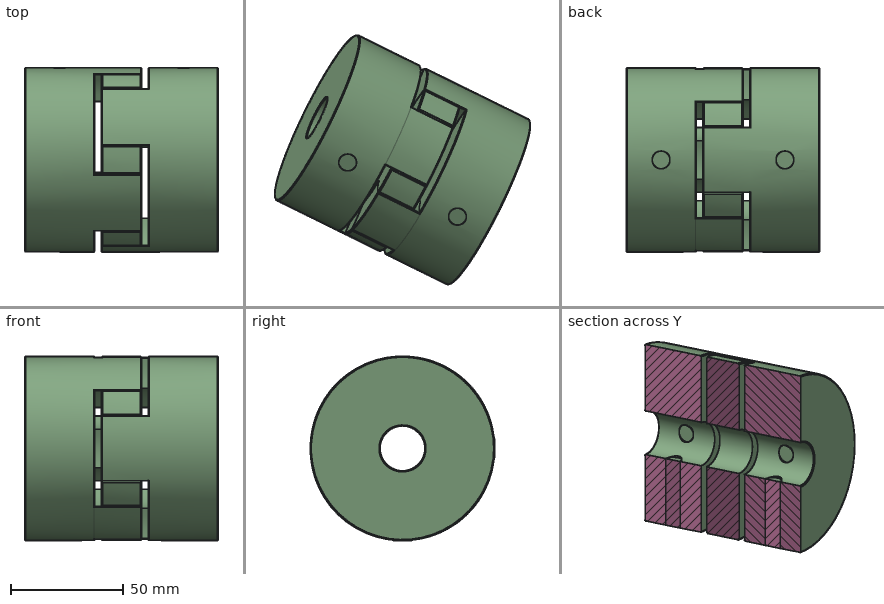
import cadquery as cq
import math


length = 86.0
outer_radius = 40.98
bore_radius = 10.0

hub_body_length = 31.1
spider_width = 18.0
body_gap = length - 2 * hub_body_length
jaw_length = (body_gap + spider_width) / 2

hub_chamfer = 0.4
lobe_chamfer = 0.6

jaw_count = 3
jaw_pitch = 360 / jaw_count
jaw_root_depth = hub_chamfer
jaw_inner_radius = 27.3
jaw_outer_half_angle = 21.0
jaw_inner_half_angle = 18.3
flank_sagitta = 0.8

screw_radius = 3.95
screw_inset = 15.5

hub_sides = (-1, 1)
screw_directions = (cq.Vector(0, 1, 0), cq.Vector(0, 0, -1))


def polar_point(radius, angle):
    """Point in the cross-section, with the angle in degrees from +Y toward +Z."""
    return (radius * math.cos(math.radians(angle)), radius * math.sin(math.radians(angle)))


def cross_section(x):
    """Workplane across the axis at x, with local axes along Y and Z."""
    return cq.Workplane("YZ", origin=(x, 0, 0))


def jaw_prism(x_start, width):
    """Ring segment with hollowed flanks, centred on +Y and extruded along +X."""
    return (
        cross_section(x_start)
        .moveTo(*polar_point(jaw_inner_radius, -jaw_inner_half_angle))
        .sagittaArc(polar_point(outer_radius, -jaw_outer_half_angle), flank_sagitta)
        .threePointArc((outer_radius, 0), polar_point(outer_radius, jaw_outer_half_angle))
        .sagittaArc(polar_point(jaw_inner_radius, jaw_inner_half_angle), flank_sagitta)
        .threePointArc((jaw_inner_radius, 0), polar_point(jaw_inner_radius, -jaw_inner_half_angle))
        .close()
        .extrude(width)
    )


def rotate_about_axis(body, angle):
    """Body turned about the coupling axis, in degrees from +Y toward +Z."""
    return body.rotate((0, 0, 0), (1, 0, 0), angle)


def jaw_angles(side):
    """The -X hub has a jaw on +Y and the +X hub has one on -Y."""
    first_angle = 0 if side < 0 else 180
    return [first_angle + i * jaw_pitch for i in range(jaw_count)]


def screw_cylinder(side, direction, start, end):
    """Radial cylinder in a hub, between two distances from the axis."""
    base = cq.Vector(side * (length / 2 - screw_inset), 0, 0) + direction * start
    return cq.Workplane(obj=cq.Solid.makeCylinder(screw_radius, end - start, base, direction))


def make_jaw(side, angle):
    """Jaw with its outer edges chamfered, rooted a little way inside the hub body."""
    rooted_length = jaw_length + jaw_root_depth
    start = -body_gap / 2 - jaw_root_depth if side < 0 else body_gap / 2 - jaw_length
    root_end = "<X" if side < 0 else ">X"
    outer_face = cq.selectors.NearestToPointSelector((start + rooted_length / 2, outer_radius, 0))
    jaw = jaw_prism(start, rooted_length)
    jaw = jaw.faces(outer_face).edges(f"not {root_end}").chamfer(hub_chamfer)
    return rotate_about_axis(jaw, angle)


def make_hub(side):
    """Bored hub with three jaws on its inner face and two radial screw holes."""
    body_start = -length / 2 if side < 0 else body_gap / 2
    outer_end = "<X" if side < 0 else ">X"
    hub = cross_section(body_start).circle(outer_radius).extrude(hub_body_length)
    hub = hub.edges("%CIRCLE").chamfer(hub_chamfer)
    for angle in jaw_angles(side):
        hub = hub.union(make_jaw(side, angle))
    bore = cross_section(body_start).circle(bore_radius).extrude(hub_body_length)
    bore_edge = cq.selectors.RadiusNthSelector(0)
    hub = hub.cut(bore).faces(outer_end).edges(bore_edge).chamfer(hub_chamfer)
    for direction in screw_directions:
        hub = hub.cut(screw_cylinder(side, direction, 0, outer_radius))
    return hub


def make_spider():
    """Ring with six lobes that fill the spaces between the jaws of both hubs."""
    spider = cross_section(-spider_width / 2).circle(outer_radius).circle(bore_radius).extrude(spider_width)
    jaw_space = jaw_prism(-spider_width / 2, spider_width)
    for side in hub_sides:
        for angle in jaw_angles(side):
            spider = spider.cut(rotate_about_axis(jaw_space, angle))
    lobe_middle_angle = jaw_pitch / 4
    for i in range(2 * jaw_count):
        y, z = polar_point(outer_radius, lobe_middle_angle + i * jaw_pitch / 2)
        lobe_face = cq.selectors.NearestToPointSelector((0, y, z))
        spider = spider.faces(lobe_face).edges().chamfer(lobe_chamfer)
    return spider


def make_screw(side, direction):
    """Plain set screw reaching from the bore to the hub's outer surface."""
    return screw_cylinder(side, direction, bore_radius, outer_radius)


hubs = [make_hub(side).val() for side in hub_sides]
spider = make_spider().val()
screws = [make_screw(side, direction).val() for side in hub_sides for direction in screw_directions]

result = cq.Compound.makeCompound([*hubs, spider, *screws])